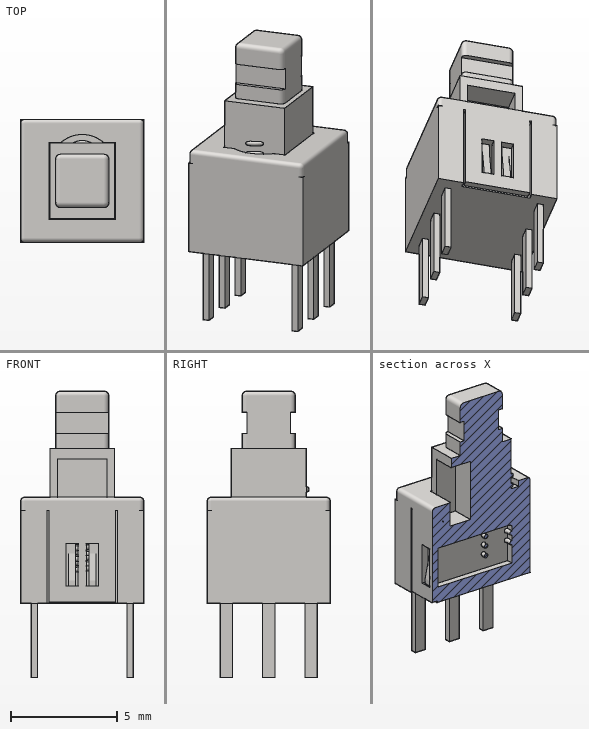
import cadquery as cq

total_height = 13.5
body_bottom = 3.5
body_top = 8.5
neck_top = 10.8

body_width = 5.8
cover_radius = 0.2
cover_corner_height = 0.62
sheet_thickness = 0.3

neck_width = 3.05
neck_length = 3.55
neck_clearance = 0.04
notch_radius = 1.53
notch_center_y = 0.66

pocket_width = 2.31
pocket_depth = 1.12
pocket_top_margin = 0.5
pocket_sink = 1.22

button_width = 2.51
button_radius = 0.23
band_bottom = neck_top + 0.7
band_height = 1.0
band_depth = button_radius

tongue_width = 3.13
tongue_slit = 0.1
tongue_bottom_gap = 0.08

window_bottom = 4.32
window_height = 2.0
window_inner_x = 0.19
window_outer_x = 0.77
window_depth = 0.35
ramp_inner_x = 0.31
ramp_outer_x = 0.65
ramp_setback = 0.08
ramp_lip = 0.25
ramp_height = 1.51

spring_outer_radius = 0.86
spring_wire = 0.23
coil_radius = spring_outer_radius - spring_wire / 2
spring_center_y = 1.04
spring_pitch = 0.5
spring_turns = 8
spring_start = 5

pin_thickness = 0.3
pin_width = 0.6
pin_offset_x = 2.25
pin_pitch_y = 2.0

front_y = -body_width / 2
neck_front_y = -neck_length / 2


def block(x_range, y_range, z_range):
    """Axis-aligned box spanning the given ranges."""
    size = [high - low for low, high in (x_range, y_range, z_range)]
    corner = (x_range[0], y_range[0], z_range[0])
    return cq.Workplane("XY").box(*size, centered=False).translate(corner)


def column(width, length, bottom, top):
    """Box centered on the Z axis between two heights."""
    return cq.Workplane("XY").workplane(offset=bottom).rect(width, length).extrude(top - bottom)


def make_body():
    shoulder = body_top - cover_corner_height
    lower = column(body_width, body_width, body_bottom, shoulder)
    cover = column(body_width, body_width, shoulder, body_top)
    cover = cover.edges("|Z").fillet(cover_radius).faces(">Z").edges().fillet(cover_radius)
    return lower.union(cover)


def cover_opening():
    """Shallow recess around the neck, widened by a round notch at the back."""
    recess_floor = body_top - sheet_thickness
    recess = column(
        neck_width + 2 * neck_clearance, neck_length + 2 * neck_clearance, recess_floor, body_top
    )
    notch = (
        cq.Workplane("XY", origin=(0, notch_center_y, recess_floor))
        .circle(notch_radius)
        .extrude(sheet_thickness)
    )
    behind_neck = block(
        (-notch_radius, notch_radius), (neck_length / 2, body_width / 2), (recess_floor, body_top)
    )
    return recess.union(notch.intersect(behind_neck))


def make_neck():
    return column(neck_width, neck_length, body_top - sheet_thickness, neck_top)


def neck_pocket():
    return block(
        (-pocket_width / 2, pocket_width / 2),
        (neck_front_y - neck_clearance, neck_front_y + pocket_depth),
        (body_top - pocket_sink, neck_top - pocket_top_margin),
    )


def make_button():
    """Rounded square button with a flat band cut across its front and back."""
    button = column(button_width, button_width, neck_top, total_height)
    button = button.edges("|Z").fillet(button_radius).faces(">Z").edges().fillet(button_radius)
    band_top = band_bottom + band_height
    ring = column(button_width, button_width, band_bottom, band_top)
    core = column(button_width, button_width - 2 * band_depth, band_bottom, band_top)
    return button.cut(ring).union(core)


def tongue_slits():
    """U-shaped slit along the sides and bottom of the tongue."""
    slit_width = tongue_width + 2 * tongue_slit
    slit_y = (front_y, front_y + sheet_thickness)
    slit_top = body_top - cover_corner_height
    outer = block((-slit_width / 2, slit_width / 2), slit_y, (body_bottom, slit_top))
    tongue = block(
        (-tongue_width / 2, tongue_width / 2), slit_y, (body_bottom + tongue_bottom_gap, slit_top)
    )
    return outer.cut(tongue)


def window():
    """Right-hand window opening, less the ramp standing on its floor."""
    window_back = front_y + window_depth
    opening = block(
        (window_inner_x, window_outer_x),
        (front_y, window_back),
        (window_bottom, window_bottom + window_height),
    )
    ramp_front = front_y + ramp_setback
    ramp = (
        cq.Workplane("YZ", origin=(ramp_inner_x, 0, window_bottom))
        .moveTo(ramp_front, 0)
        .lineTo(window_back, 0)
        .lineTo(window_back, ramp_height)
        .lineTo(ramp_front, ramp_lip)
        .close()
        .extrude(ramp_outer_x - ramp_inner_x)
    )
    return opening.cut(ramp)


def spring_slot():
    """Slot behind the bar between the windows, reaching back to the rear of the coil."""
    return block(
        (-ramp_inner_x, ramp_inner_x),
        (front_y + window_depth, spring_center_y + coil_radius),
        (window_bottom, window_bottom + window_height),
    )


def make_spring():
    """Helical spring rising from its left side."""
    path = cq.Wire.makeHelix(spring_pitch, spring_pitch * spring_turns, coil_radius)
    spring = (
        cq.Workplane("XZ", origin=(coil_radius, 0, 0))
        .circle(spring_wire / 2)
        .sweep(cq.Workplane(path), isFrenet=True)
    )
    spring = spring.rotate((0, 0, 0), (0, 0, 1), 180)
    return spring.translate((0, spring_center_y, spring_start))


def make_pins():
    """Two rows of three pins reaching down to Z = 0."""
    columns = (-pin_offset_x, pin_offset_x)
    rows = (-pin_pitch_y, 0, pin_pitch_y)
    pin_spots = [(x, y) for x in columns for y in rows]
    return cq.Workplane("XY").pushPoints(pin_spots).rect(pin_thickness, pin_width).extrude(body_bottom)


right_window = window()
left_window = right_window.mirror("YZ")

result = make_body().cut(cover_opening()).union(make_neck()).cut(neck_pocket())
result = result.union(make_button()).union(make_pins())
result = result.cut(tongue_slits()).cut(spring_slot())
result = result.cut(right_window).cut(left_window)
result = result.union(make_spring())